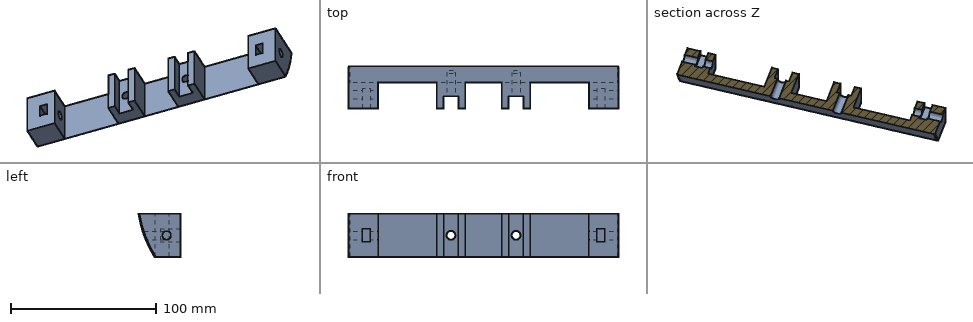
import cadquery as cq

length = 186.0
depth = 29.2
height = 30.0
underside_depth = 18.0
back_bulge = 1.7
back_edge_radius = 0.7

end_block_width = 20.5
boss_spacing = 44.8
boss_width = 19.7
recess_depth = 17.9

slot_width = 10.0
slot_depth = 8.4
hole_diameter = 6.0

cross_hole_from_front = 9.7
nut_width = 5.4
nut_height = 8.7
nut_from_end = 12.3
nut_pocket_depth = cross_hole_from_front + nut_height / 2

mid_height = height / 2
boss_centres = (-boss_spacing / 2, boss_spacing / 2)


def curved_bar():
    """Extrude the side profile, with a bowed back, and round the ends of the back face."""
    back_middle = ((depth + underside_depth) / 2 + back_bulge, mid_height)
    bar = (
        cq.Workplane("YZ")
        .moveTo(0, 0)
        .lineTo(underside_depth, 0)
        .threePointArc(back_middle, (depth, height))
        .lineTo(0, height)
        .close()
        .extrude(length / 2, both=True)
    )
    curved_end_edges = bar.edges("%CIRCLE")
    return curved_end_edges.fillet(back_edge_radius)


def front_cut(x_start, x_end, cut_depth):
    """Box cut into the front face over the full height."""
    block = cq.Workplane("XY").box(x_end - x_start, cut_depth, height, centered=False)
    return block.translate((x_start, 0, 0))


def front_recesses():
    """Three open recesses that leave the end blocks and bosses standing."""
    inner_end = length / 2 - end_block_width
    boss_outer = boss_spacing / 2 + boss_width / 2
    boss_inner = boss_spacing / 2 - boss_width / 2
    return (
        front_cut(-inner_end, -boss_outer, recess_depth)
        .union(front_cut(-boss_inner, boss_inner, recess_depth))
        .union(front_cut(boss_outer, inner_end, recess_depth))
    )


def boss_cuts(centre):
    """Vertical slot and a bolt hole running through to the back."""
    slot = front_cut(centre - slot_width / 2, centre + slot_width / 2, slot_depth)
    hole = (
        cq.Workplane("XZ")
        .center(centre, mid_height)
        .circle(hole_diameter / 2)
        .extrude(-depth)
    )
    return slot.union(hole)


def cross_holes():
    """Bore along X through each end block, leaving the bosses undrilled."""
    block_starts = (-length / 2, length / 2 - end_block_width)
    holes = cq.Workplane("YZ")
    for block_start in block_starts:
        hole = (
            cq.Workplane("YZ", origin=(block_start, cross_hole_from_front, mid_height))
            .circle(hole_diameter / 2)
            .extrude(end_block_width)
        )
        holes = holes.add(hole)
    return holes.combine()


def nut_pockets():
    """Rectangular nut pockets crossing the bore in each end block."""
    pocket_x = length / 2 - nut_from_end
    return (
        cq.Workplane("XZ")
        .pushPoints([(-pocket_x, mid_height), (pocket_x, mid_height)])
        .rect(nut_width, nut_height)
        .extrude(-nut_pocket_depth)
    )


result = curved_bar().cut(front_recesses())
for boss_centre in boss_centres:
    result = result.cut(boss_cuts(boss_centre))
result = result.cut(cross_holes()).cut(nut_pockets())